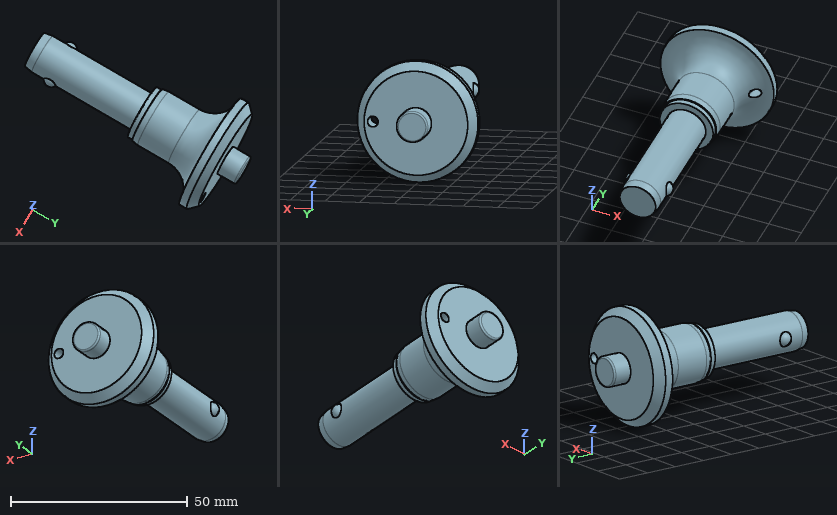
import cadquery as cq
import math


shank_radius = 6.0
shank_length = 35.5
tip_taper_length = 2.5
tip_radius = 5.55

ball_radius = 2.25
ball_span = 14.5
ball_to_tip = 8.5

lip_radius = 8.25
lip_length = 1.7
body_radius = 8.85
shoulder_end_radius = 8.55
shoulder_length = 1.9
handle_length = 27.4
flange_radius = 17.5
rim_width = 2.5
rim_chamfer = 2.5
flare_radius = flange_radius - body_radius

ring_hole_diameter = 3.0
ring_hole_offset = 12.5

button_radius = 4.5
button_height = 5.9
button_fillet = 0.5


def y_cylinder(radius, y_start, length, x=0.0):
    """Solid cylinder along Y that starts at y_start and runs toward +Y."""
    return cq.Workplane("XZ", origin=(x, y_start, 0)).circle(radius).extrude(-length)


def make_shank():
    """Plain shank with a tapered tip; its blunt end meets the handle shoulder."""
    return (
        cq.Workplane("XY")
        .moveTo(0, -shank_length)
        .lineTo(tip_radius, -shank_length)
        .lineTo(shank_radius, -shank_length + tip_taper_length)
        .lineTo(shank_radius, 0)
        .lineTo(0, 0)
        .close()
        .revolve(360, (0, 0, 0), (0, 1, 0))
    )


def make_handle():
    """Stepped body that flares through a concave quarter arc into a flange."""
    shoulder_end_y = lip_length + shoulder_length
    rim_front_y = handle_length - rim_chamfer - rim_width
    flare_start_y = rim_front_y - flare_radius
    diagonal = flare_radius * math.cos(math.radians(45))
    flare_middle = (flange_radius - diagonal, flare_start_y + diagonal)
    return (
        cq.Workplane("XY")
        .lineTo(lip_radius, 0)
        .lineTo(lip_radius, lip_length)
        .lineTo(shoulder_end_radius, lip_length)
        .lineTo(body_radius, shoulder_end_y)
        .lineTo(body_radius, flare_start_y)
        .threePointArc(flare_middle, (flange_radius, rim_front_y))
        .lineTo(flange_radius, rim_front_y + rim_width)
        .lineTo(flange_radius - rim_chamfer, handle_length)
        .lineTo(0, handle_length)
        .close()
        .revolve(360, (0, 0, 0), (0, 1, 0))
    )


def make_button():
    """Round push button with a softened outer edge."""
    button = y_cylinder(button_radius, handle_length, button_height)
    return button.faces(">Y").edges().fillet(button_fillet)


def make_balls():
    """Pair of balls bulging out of opposite sides of the shank."""
    ball_offset = ball_span / 2 - ball_radius
    ball_y = -shank_length + ball_to_tip
    ball = cq.Workplane("XY").sphere(ball_radius)
    left_ball = ball.translate((-ball_offset, ball_y, 0))
    right_ball = ball.translate((ball_offset, ball_y, 0))
    return left_ball.union(right_ball)


ring_hole = y_cylinder(ring_hole_diameter / 2, 0, handle_length, x=ring_hole_offset)

handle = make_handle().cut(ring_hole)
result = handle.union(make_shank()).union(make_button()).union(make_balls())